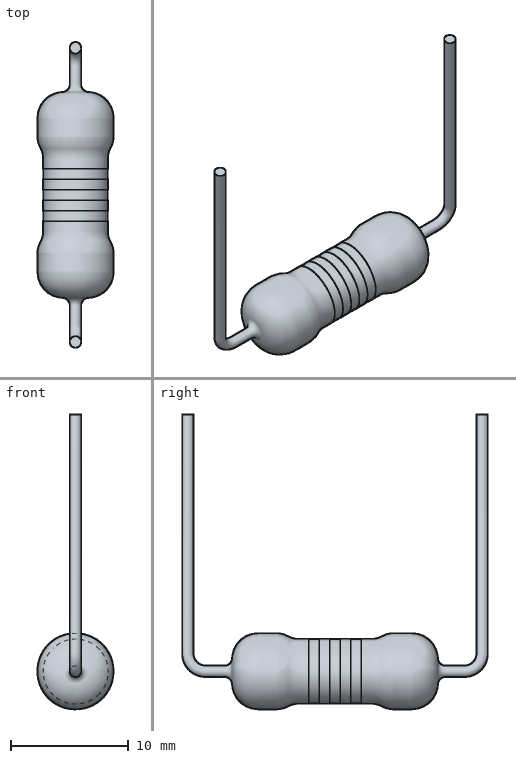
import cadquery as cq
import math


overall_length = 26.0
lead_diameter = 1.0
lead_radius = lead_diameter / 2
lead_y = overall_length / 2 - lead_radius
bend_radius = 1.5
lead_top = 21.85

end_radius = 3.25
cap_radius = 2.24
cap_start = 6.53
collar_end = 9.39
shoulder_outer = 4.95
shoulder_inner = 3.12

plain_radius = 5.5 / 2
band_radius = 5.55 / 2
raised_band_count = 4
stripe_count = 2 * raised_band_count - 1
stripe_width = 2 * shoulder_inner / stripe_count


def make_end_cap():
    """Body end at +Y: outermost raised band, shoulder, straight barrel, dome and collar."""
    outer_band_start = shoulder_inner - stripe_width

    shoulder_middle = (
        (band_radius + end_radius) / 2,
        (shoulder_inner + shoulder_outer) / 2,
    )

    dome_center = end_radius - cap_radius
    collar_distance = collar_end - cap_start
    radial_offset = lead_radius - dome_center
    collar_radius = (collar_distance**2 + radial_offset**2 - cap_radius**2) / (
        2 * (cap_radius - radial_offset)
    )
    center_rise = radial_offset + collar_radius
    dome_angle = math.atan2(center_rise, collar_distance)
    dome_end = (
        dome_center + cap_radius * math.sin(dome_angle),
        cap_start + cap_radius * math.cos(dome_angle),
    )

    return (
        cq.Workplane("XY")
        .moveTo(0, outer_band_start)
        .lineTo(band_radius, outer_band_start)
        .lineTo(band_radius, shoulder_inner)
        .tangentArcPoint(shoulder_middle, relative=False)
        .tangentArcPoint((end_radius, shoulder_outer), relative=False)
        .lineTo(end_radius, cap_start)
        .tangentArcPoint(dome_end, relative=False)
        .tangentArcPoint((lead_radius, collar_end), relative=False)
        .lineTo(0, collar_end)
        .close()
        .revolve(360, (0, 0, 0), (0, 1, 0))
    )


def make_cylinder(radius, start_y, length):
    """Cylinder on the body axis, running from start_y toward +Y."""
    return (
        cq.Workplane("XZ", origin=(0, start_y, 0))
        .circle(radius)
        .extrude(-length)
    )


def make_lead():
    """Lead at the +Y end: out of the body, around the bend and up."""
    bend_start = lead_y - bend_radius
    path = (
        cq.Workplane("YZ")
        .moveTo(collar_end, 0)
        .lineTo(bend_start, 0)
        .tangentArcPoint((lead_y, bend_radius), relative=False)
        .lineTo(lead_y, lead_top)
    )
    return (
        cq.Workplane("XZ", origin=(0, collar_end, 0))
        .circle(lead_radius)
        .sweep(path)
    )


result = make_cylinder(plain_radius, -shoulder_inner, 2 * shoulder_inner)
for index in range(1, raised_band_count - 1):
    band_start = -shoulder_inner + 2 * index * stripe_width
    result = result.union(make_cylinder(band_radius, band_start, stripe_width))

end_with_lead = make_end_cap().union(make_lead())
result = result.union(end_with_lead).union(end_with_lead.mirror("XZ"))